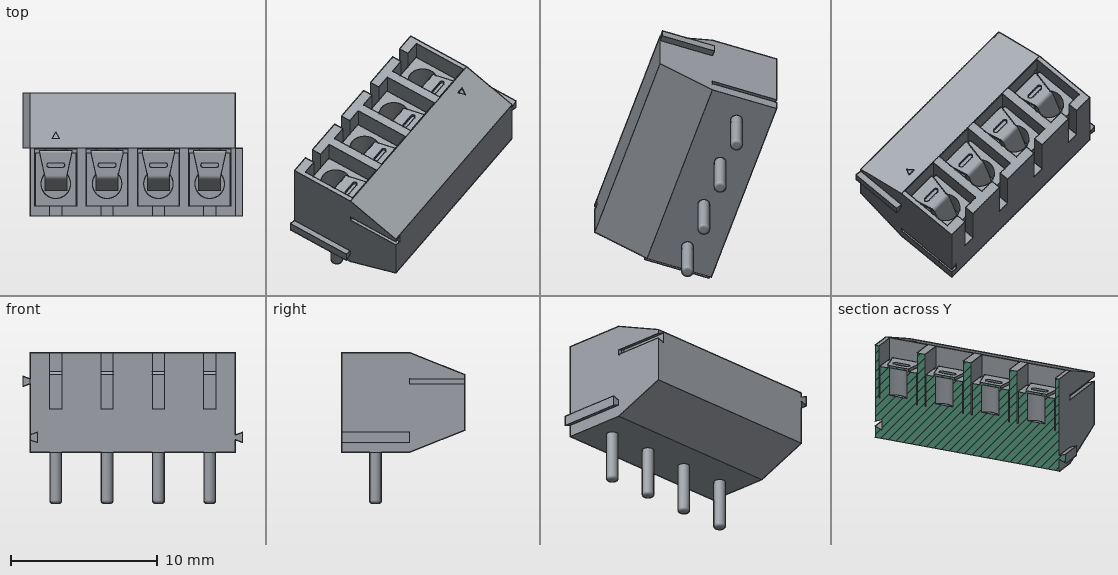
import cadquery as cq
import math


overall_length = 15.0
overall_height = 10.3
depth = 8.4
body_height = 6.81
rail_depth = 0.5
poles = 4
body_length = overall_length - 2 * rail_depth
pitch = body_length / poles
slope_start = 4.64
slope_drop = 1.5

rail_tip_width = 0.7
rail_root_width = 0.35
upper_rail_z = 4.85
lower_rail_z = 1.02

pin_diameter = 0.81
pin_y = 2.31
pin_length = overall_height - body_height
pin_tip_radius = 0.2

pocket_width = 2.88
pocket_front = 0.69
pocket_back = 4.59
slot_width = 0.82
slot_depth = 3.84
pocket_floor = body_height - slot_depth

clamp_width = 2.79
clamp_back = 4.32
clamp_recess = 1.5
clamp_top = body_height - clamp_recess
wire_hole_radius = 1.0
wire_hole_y = 2.2
screw_radius = 0.75
screw_z = (pocket_floor + clamp_top) / 2

tongue_thickness = 0.2
tongue_top = clamp_top + tongue_thickness
tongue_back = 4.48
tongue_taper_start = tongue_back - tongue_thickness
tongue_rear_width = 2.19
tongue_tip_width = 1.5
bend_start = 2.75
bend_radius = 0.3
bend_angle = math.radians(70)
bend_end = bend_start - bend_radius * math.sin(bend_angle)
bend_end_z = tongue_top - bend_radius * (1 - math.cos(bend_angle))
tongue_tip_y = 1.74
wire_hole_floor = bend_end_z - (bend_end - tongue_tip_y) * math.tan(bend_angle)
tongue_slit_y = 3.48
tongue_slit_length = 1.23
tongue_slit_width = 0.32

mark_base_y = 5.3
mark_width = 0.5
mark_height = 0.45
mark_depth = 0.1


def block(x_center, width, y_min, y_max, z_min, z_max):
    """A box centred on x_center and given by its Y and Z limits."""
    box = cq.Workplane("XY").box(width, y_max - y_min, z_max - z_min, centered=(True, False, False))
    return box.translate((x_center, y_min, z_min))


def dovetail(root_x, z_center, y_min, y_max):
    """A dovetail bar that widens from root_x toward +X."""
    tip_x = root_x + rail_depth
    corners = [
        (root_x, z_center - rail_root_width / 2),
        (tip_x, z_center - rail_tip_width / 2),
        (tip_x, z_center + rail_tip_width / 2),
        (root_x, z_center + rail_root_width / 2),
    ]
    bar = cq.Workplane("XZ").polyline(corners).close().extrude(y_min - y_max)
    return bar.translate((0, y_min, 0))


def housing():
    """The solid body with both rear slopes, end rails and end grooves."""
    profile = [
        (0, 0),
        (slope_start, 0),
        (depth, slope_drop),
        (depth, body_height - slope_drop),
        (slope_start, body_height),
        (0, body_height),
    ]
    body = cq.Workplane("YZ").polyline(profile).close().extrude(body_length / 2, both=True)
    right_end = body_length / 2
    left_end = -right_end
    upper_rail = dovetail(right_end, upper_rail_z, slope_start, depth).mirror("YZ")
    lower_rail = dovetail(right_end, lower_rail_z, 0, slope_start)
    lower_groove = dovetail(left_end, lower_rail_z, 0, slope_start)
    upper_groove = dovetail(left_end, upper_rail_z, slope_start, depth).mirror("YZ")
    return body.union(upper_rail).union(lower_rail).cut(lower_groove).cut(upper_groove)


def pocket(x):
    """The space cut out of the housing for one pole."""
    chamber = block(x, pocket_width, pocket_front, pocket_back, pocket_floor, body_height)
    driver_slot = block(x, slot_width, 0, pocket_front, pocket_floor, body_height)
    return chamber.union(driver_slot)


def tongue(x):
    """The bent tongue: a tapering flat part, a rounded bend and a steep tip inside the hole."""
    middle_angle = bend_angle / 2
    bend_middle = (
        bend_start - bend_radius * math.sin(middle_angle),
        tongue_top - bend_radius * (1 - math.cos(middle_angle)),
    )
    side = (
        cq.Workplane("YZ")
        .moveTo(tongue_back, clamp_top)
        .radiusArc((tongue_taper_start, tongue_top), -tongue_thickness)
        .lineTo(bend_start, tongue_top)
        .threePointArc(bend_middle, (bend_end, bend_end_z))
        .lineTo(tongue_tip_y, wire_hole_floor)
        .lineTo(bend_start, wire_hole_floor)
        .lineTo(bend_start, clamp_top)
        .close()
        .extrude(tongue_rear_width / 2, both=True)
    )
    half_rear = tongue_rear_width / 2
    half_tip = tongue_tip_width / 2
    plan = (
        cq.Workplane("XY")
        .polyline(
            [
                (-half_rear, tongue_back),
                (-half_rear, tongue_taper_start),
                (-half_tip, bend_start),
                (-half_tip, tongue_tip_y),
                (half_tip, tongue_tip_y),
                (half_tip, bend_start),
                (half_rear, tongue_taper_start),
                (half_rear, tongue_back),
            ]
        )
        .close()
        .extrude(body_height)
    )
    slit = (
        cq.Workplane("XY", origin=(0, tongue_slit_y, clamp_top))
        .slot2D(tongue_slit_length, tongue_slit_width)
        .extrude(tongue_thickness)
    )
    return side.intersect(plan).cut(slit).translate((x, 0, 0))


def clamp(x):
    """One metal clamp with its round hole, its tongue and the screw running into the rear wall."""
    cage = block(x, clamp_width, pocket_front, clamp_back, pocket_floor, clamp_top)
    wire_hole = (
        cq.Workplane("XY", origin=(x, wire_hole_y, wire_hole_floor))
        .circle(wire_hole_radius)
        .extrude(clamp_top - wire_hole_floor)
    )
    screw = (
        cq.Workplane("XZ", origin=(x, clamp_back, screw_z))
        .circle(screw_radius)
        .extrude(clamp_back - pocket_back)
    )
    return cage.cut(wire_hole).union(screw).union(tongue(x))


def pin(x):
    """One solder pin with a rounded tip."""
    return (
        cq.Workplane("XY", origin=(x, pin_y, 0))
        .circle(pin_diameter / 2)
        .extrude(-pin_length)
        .faces("<Z")
        .edges()
        .fillet(pin_tip_radius)
    )


def pole_mark(x):
    """The triangle sunk into the upper slope behind one pole."""
    slope_rate = slope_drop / (depth - slope_start)
    floor_z = body_height - mark_depth - (mark_base_y - slope_start) * slope_rate
    prism = (
        cq.Workplane("XY")
        .polyline(
            [
                (x - mark_width / 2, mark_base_y),
                (x + mark_width / 2, mark_base_y),
                (x, mark_base_y + mark_height),
            ]
        )
        .close()
        .extrude(body_height)
    )
    floor_tilt = -math.degrees(math.atan(slope_rate))
    above_floor = (
        cq.Workplane("XY")
        .box(pitch, pitch, slope_drop, centered=(True, True, False))
        .rotate((0, 0, 0), (1, 0, 0), floor_tilt)
        .translate((x, mark_base_y, floor_z))
    )
    return prism.intersect(above_floor)


pole_positions = [(i - (poles - 1) / 2) * pitch for i in range(poles)]

result = housing().cut(pole_mark(pole_positions[0]))
for pole_x in pole_positions:
    result = result.cut(pocket(pole_x)).union(clamp(pole_x)).union(pin(pole_x))